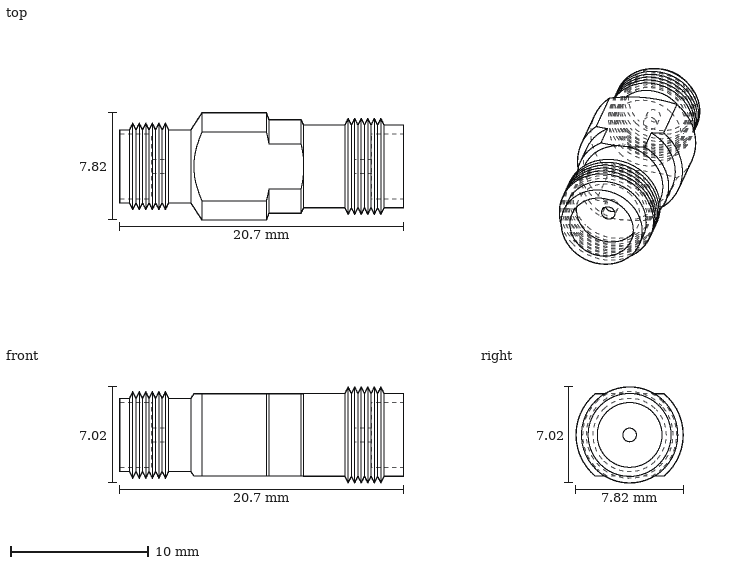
import cadquery as cq

length = 20.7

thread_pitch = 0.48
thread_turns = 6

left_neck_diameter = 5.35
left_thread_diameter = 6.31
left_thread_start = 0.72

right_neck_diameter = 6.05
right_thread_diameter = 7.02
right_thread_start = 16.42

body_diameter = 7.82
collar_diameter = 6.83
cone_start = 5.2
body_start = 6.0
body_end = 10.7
collar_start = 10.89
collar_end = 13.23
right_neck_start = 13.41
flat_width = 6.0

socket_diameter = 4.72
socket_depth = 2.34
contact_diameter = 1.0
contact_depth = 1.25


def thread_points(start, root_radius, crest_radius):
    """Zigzag of (x, radius) points for one threaded stretch."""
    points = [(start, root_radius)]
    for turn in range(thread_turns):
        turn_start = start + turn * thread_pitch
        points.append((turn_start + thread_pitch / 2, crest_radius))
        points.append((turn_start + thread_pitch, root_radius))
    return points


def turned_blank():
    """Solid of revolution with both threads, the body and the collar."""
    outline = [(0, 0), (0, left_neck_diameter / 2)]
    outline += thread_points(left_thread_start, left_neck_diameter / 2, left_thread_diameter / 2)
    outline += [
        (cone_start, left_neck_diameter / 2),
        (body_start, body_diameter / 2),
        (body_end, body_diameter / 2),
        (collar_start, collar_diameter / 2),
        (collar_end, collar_diameter / 2),
        (right_neck_start, right_neck_diameter / 2),
    ]
    outline += thread_points(right_thread_start, right_neck_diameter / 2, right_thread_diameter / 2)
    outline += [(length, right_neck_diameter / 2), (length, 0)]
    return cq.Workplane("XY").polyline(outline).close().revolve(360, (0, 0, 0), (1, 0, 0))


def cut_wrench_flats(part):
    """Trim the body and collar to two flats facing up and down."""
    flats_length = right_neck_start - cone_start
    flats_middle = (cone_start + right_neck_start) / 2
    cutter_height = (body_diameter - flat_width) / 2
    for side in (1, -1):
        cutter = cq.Workplane("XY").box(flats_length, body_diameter, cutter_height)
        cutter_z = side * (flat_width + cutter_height) / 2
        part = part.cut(cutter.translate((flats_middle, 0, cutter_z)))
    return part


def cut_socket(part, end_x, inward):
    """Bore a socket and its contact hole into the end at end_x, along X."""
    face = cq.Workplane("YZ", origin=(end_x, 0, 0))
    socket = face.circle(socket_diameter / 2).extrude(inward * socket_depth)
    contact = face.circle(contact_diameter / 2).extrude(inward * (socket_depth + contact_depth))
    return part.cut(socket).cut(contact)


result = turned_blank()
result = cut_wrench_flats(result)
result = cut_socket(result, 0, 1)
result = cut_socket(result, length, -1)